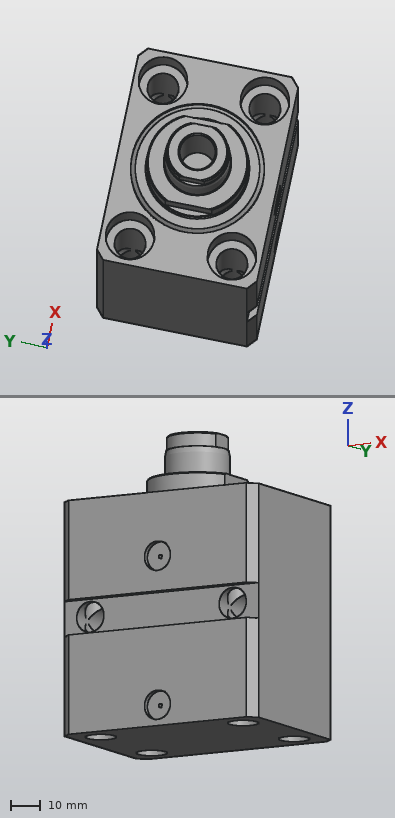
import cadquery as cq
TOTAL_HEIGHT = 103.0

HOUSING_LENGTH = 75.0
HOUSING_WIDTH = 55.0
HOUSING_HEIGHT = 80.0
CORNER_CUT_X = 3.2
CORNER_CUT_Y = 2.8

BOLT_HOLE_DIAMETER = 10.5
BOLT_SPACING_X = 55.0
BOLT_SPACING_Y = 35.0
COUNTERBORE_DIAMETER = 16.5
COUNTERBORE_DEPTH = 10.7

SLOT_HEIGHT = 12.0
SLOT_DEPTH = CORNER_CUT_Y

PORT_DIAMETER = 10.0
PORT_DEPTH = 2.0
PORT_PINHOLE_DIAMETER = 1.2
PORT_PINHOLE_DEPTH = 2.0
UPPER_PORT_Z = 58.1
LOWER_PORT_Z = 7.1

GLAND_DIAMETER = 45.0
GLAND_DEPTH = 20.0
GLAND_CHAMFER = 1.5
COLLAR_DIAMETER = 34.1
COLLAR_HEIGHT = 8.0
COLLAR_CHAMFER = 0.4
COLLAR_FOOT = 0.5
COLLAR_FLAT_WIDTH = 30.1
COLLAR_FLAT_START = 2.0
COLLAR_MOUTH_CHAMFER = 0.4

ROD_DIAMETER = 22.0
ROD_TAPER_HEIGHT = 2.1
ROD_TAPER_TOP_DIAMETER = 21.2
TIP_DIAMETER = 20.8
TIP_HEIGHT = 4.9
TIP_CHAMFER = 0.5
TIP_FLAT_WIDTH = 19.0
ROD_HOLE_DIAMETER = 11.9
ROD_HOLE_DEPTH = 25.0
ROD_HOLE_CHAMFER = 0.5


def cylinder(diameter, bottom, top):
    """Vertical cylinder on the Z axis."""
    return cq.Workplane("XY").workplane(offset=bottom).circle(diameter / 2).extrude(top - bottom)


def cone(bottom_diameter, top_diameter, bottom, top):
    """Truncated cone on the Z axis."""
    return cq.Workplane(cq.Solid.makeCone(
        bottom_diameter / 2, top_diameter / 2, top - bottom, pnt=cq.Vector(0, 0, bottom)))


def front_hole(x, z, diameter, start_depth, length):
    """Round cutter that runs along +Y, starting at a depth behind the front face."""
    start_y = start_depth - HOUSING_WIDTH / 2
    return cq.Workplane(cq.Solid.makeCylinder(
        diameter / 2, length, cq.Vector(x, start_y, z), cq.Vector(0, 1, 0)))


def cut_wrench_flats(body, flat_width, bottom, top):
    """Trim a band of a round body, narrower than the gland, to flats facing -X and +X."""
    height = top - bottom
    band = cq.Workplane("XY").workplane(offset=bottom).rect(GLAND_DIAMETER, GLAND_DIAMETER).extrude(height)
    kept = cq.Workplane("XY").workplane(offset=bottom).rect(flat_width, GLAND_DIAMETER).extrude(height)
    return body.cut(band.cut(kept))


def make_block():
    half_x = HOUSING_LENGTH / 2
    half_y = HOUSING_WIDTH / 2
    inner_x = half_x - CORNER_CUT_X
    inner_y = half_y - CORNER_CUT_Y
    outline = [
        (inner_x, -half_y), (half_x, -inner_y), (half_x, inner_y), (inner_x, half_y),
        (-inner_x, half_y), (-half_x, inner_y), (-half_x, -inner_y), (-inner_x, -half_y),
    ]
    return cq.Workplane("XY").polyline(outline).close().extrude(HOUSING_HEIGHT)


def make_housing():
    housing = make_block()

    housing = (
        housing.faces(">Z").workplane(origin=(0, 0, HOUSING_HEIGHT))
        .rect(BOLT_SPACING_X, BOLT_SPACING_Y, forConstruction=True).vertices()
        .cboreHole(BOLT_HOLE_DIAMETER, COUNTERBORE_DIAMETER, COUNTERBORE_DEPTH)
    )

    slot_z = HOUSING_HEIGHT / 2
    slot_y = (SLOT_DEPTH - HOUSING_WIDTH) / 2
    slot = cq.Workplane("XY").box(HOUSING_LENGTH, SLOT_DEPTH, SLOT_HEIGHT).translate((0, slot_y, slot_z))
    housing = housing.cut(slot)
    for x in (-BOLT_SPACING_X / 2, BOLT_SPACING_X / 2):
        housing = housing.cut(front_hole(x, slot_z, BOLT_HOLE_DIAMETER, 0, HOUSING_WIDTH))

    for z in (LOWER_PORT_Z, UPPER_PORT_Z):
        housing = housing.cut(front_hole(0, z, PORT_DIAMETER, 0, PORT_DEPTH))
        housing = housing.cut(front_hole(0, z, PORT_PINHOLE_DIAMETER, PORT_DEPTH, PORT_PINHOLE_DEPTH))

    return housing.cut(cylinder(GLAND_DIAMETER, HOUSING_HEIGHT - GLAND_DEPTH, HOUSING_HEIGHT))


def make_gland():
    collar_top = HOUSING_HEIGHT + COLLAR_HEIGHT
    gland_bottom = HOUSING_HEIGHT - GLAND_DEPTH
    plug = cylinder(GLAND_DIAMETER, gland_bottom, HOUSING_HEIGHT)
    plug = plug.faces(">Z").chamfer(GLAND_CHAMFER)

    collar = cylinder(COLLAR_DIAMETER, HOUSING_HEIGHT, collar_top)
    collar = collar.faces(">Z").chamfer(COLLAR_CHAMFER)
    collar = cut_wrench_flats(
        collar, COLLAR_FLAT_WIDTH, HOUSING_HEIGHT + COLLAR_FLAT_START, collar_top)
    foot = cone(
        COLLAR_DIAMETER + 2 * COLLAR_FOOT, COLLAR_DIAMETER, HOUSING_HEIGHT, HOUSING_HEIGHT + COLLAR_FOOT)

    rod_passage = cylinder(ROD_DIAMETER, gland_bottom, collar_top)
    mouth = cone(
        ROD_DIAMETER, ROD_DIAMETER + 2 * COLLAR_MOUTH_CHAMFER,
        collar_top - COLLAR_MOUTH_CHAMFER, collar_top)
    return plug.union(collar).union(foot).cut(rod_passage).cut(mouth)


def make_rod():
    tip_bottom = TOTAL_HEIGHT - TIP_HEIGHT
    taper_bottom = tip_bottom - ROD_TAPER_HEIGHT
    shank = cylinder(ROD_DIAMETER, HOUSING_HEIGHT - GLAND_DEPTH, taper_bottom)
    taper = cone(ROD_DIAMETER, ROD_TAPER_TOP_DIAMETER, taper_bottom, tip_bottom)

    tip = cylinder(TIP_DIAMETER, tip_bottom, TOTAL_HEIGHT)
    tip = tip.faces(">Z").chamfer(TIP_CHAMFER)
    tip = cut_wrench_flats(tip, TIP_FLAT_WIDTH, tip_bottom, TOTAL_HEIGHT)

    hole = cylinder(ROD_HOLE_DIAMETER, TOTAL_HEIGHT - ROD_HOLE_DEPTH, TOTAL_HEIGHT)
    hole_mouth = cone(
        ROD_HOLE_DIAMETER, ROD_HOLE_DIAMETER + 2 * ROD_HOLE_CHAMFER,
        TOTAL_HEIGHT - ROD_HOLE_CHAMFER, TOTAL_HEIGHT)
    return shank.union(taper).union(tip).cut(hole).cut(hole_mouth)


housing = make_housing()
gland = make_gland()
rod = make_rod()

result = cq.Compound.makeCompound([housing.solids().val(), gland.solids().val(), rod.solids().val()])